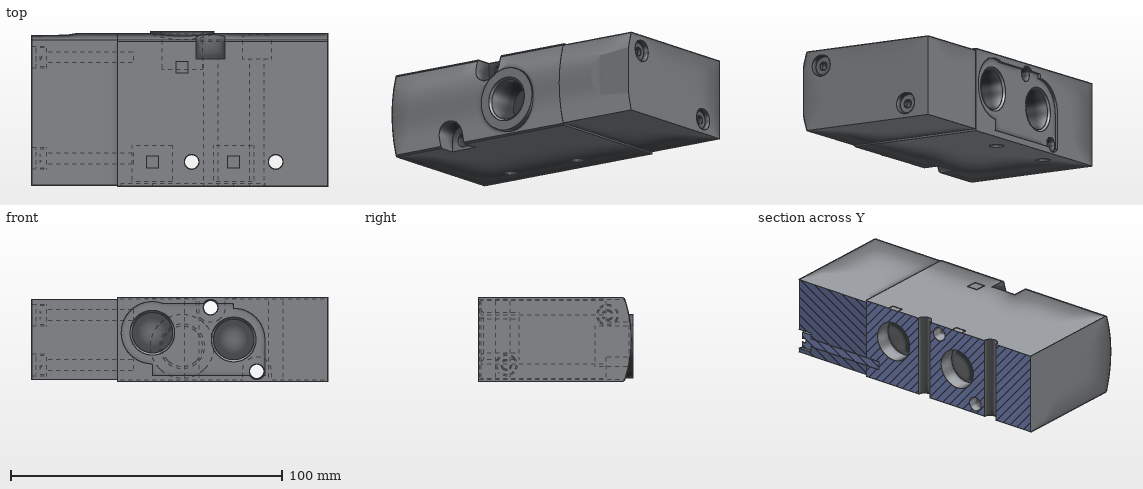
import cadquery as cq
import math


total_length = 109.2
total_depth = 57.0
body_height = 31.0
cap_length = 31.6
body_length = total_length - cap_length

crown_radius = 47.0
crown_top = 56.35
edge_chamfer = 0.6

cap_inset = 0.7
cap_front_inset = 0.3
cap_height = body_height - 2 * cap_inset
relief_length = 16.6
relief_ramp_length = 3.5
relief_end_drop = 0.8
relief_ramp_drop = 0.6

port_diameter = 14.95
port_mouth_diameter = 16.5
port_chamfer = (port_mouth_diameter - port_diameter) / 2
port_depth = 14.0
left_port = (12.9, 2.5)
right_port = (42.9, 0.0)
back_port = (23.9, -2.5)
back_boss_diameter = 23.5
back_boss_root = 50.0

recess_depth = 1.0
recess_radius = 11.5
recess_half_height = 13.2
recess_corner = 0.5

mount_diameter = 5.3
mount_relief_diameter = 6.0
mounts = [(34.4, 11.75, 1), (51.4, -11.75, -1)]
notch_width = 10.7
notch_floor = 47.0

cross_hole_diameter = 5.3
cross_hole_y = 9.0
cross_hole_xs = (27.4, 58.4)

label_size = 4.4
label_depth = 0.1
label_centers = [(left_port[0], 9.0), (right_port[0], 9.0), (back_port[0], 43.9)]

screw_positions = [(47.6, 9.0), (10.3, -9.4)]
shank_diameter = 4.0
shank_length = 32.0
head_diameter = 7.0
head_height = 4.0
head_edge = 0.5
head_sink = 1.5
head_pocket_diameter = 8.0
socket_diameter = 3.0
socket_mouth_diameter = 3.24
socket_mouth_chamfer = (socket_mouth_diameter - socket_diameter) / 2
socket_depth = 1.5
socket_cone_depth = 0.8
head_top_x = -cap_length + head_sink
head_seat_x = head_top_x + head_height
screw_tip_x = head_seat_x + shank_length


def crown_y(z):
    """Y of the crowned back face at height z."""
    return crown_top - crown_radius + math.sqrt(crown_radius**2 - z**2)


def cylinder_y(x, z, diameter, y_start, y_end):
    """Cylinder along Y between two Y values."""
    axis_start = cq.Vector(x, y_start, z)
    return cq.Workplane(cq.Solid.makeCylinder(diameter / 2, y_end - y_start, axis_start, cq.Vector(0, 1, 0)))


def cylinder_x(y, z, diameter, x_start, x_end):
    """Cylinder along X between two X values."""
    axis_start = cq.Vector(x_start, y, z)
    return cq.Workplane(cq.Solid.makeCylinder(diameter / 2, x_end - x_start, axis_start, cq.Vector(1, 0, 0)))


def cone_along(start, direction, start_diameter, end_diameter, length):
    """Cone frustum from a start point along a direction."""
    cone = cq.Solid.makeCone(
        start_diameter / 2, end_diameter / 2, length, cq.Vector(*start), cq.Vector(*direction)
    )
    return cq.Workplane(cone)


def port_cutter(center, face_y, inward):
    """Port bore with a chamfered mouth; inward is +1 or -1 along Y."""
    x, z = center
    floor_y = face_y + inward * port_depth
    bore = cylinder_y(x, z, port_diameter, min(face_y, floor_y), max(face_y, floor_y))
    mouth = cone_along((x, face_y, z), (0, inward, 0), port_mouth_diameter, port_diameter, port_chamfer)
    return bore.union(mouth)


def gasket_recess():
    """Recess outline: two arcs around the ports joined by straight edges and steps."""
    left_x, left_z = left_port
    right_x, right_z = right_port
    rise = recess_half_height - left_z
    tangent_x = left_x + math.sqrt(recess_radius**2 - rise**2)
    diagonal_reach = recess_radius / math.sqrt(2)
    right_arc_middle = (right_x + diagonal_reach, right_z + diagonal_reach)
    outline = (
        cq.Workplane("XZ")
        .moveTo(tangent_x, recess_half_height)
        .lineTo(right_x, recess_half_height)
        .lineTo(right_x, right_z + recess_radius)
        .threePointArc(right_arc_middle, (right_x + recess_radius, right_z))
        .lineTo(right_x + recess_radius, -recess_half_height)
        .lineTo(left_x, -recess_half_height)
        .lineTo(left_x, left_z - recess_radius)
        .threePointArc((left_x - recess_radius, left_z), (tangent_x, recess_half_height))
        .close()
        .extrude(-recess_depth)
    )
    upper_step = cq.selectors.NearestToPointSelector((right_x, recess_depth / 2, recess_half_height))
    lower_step = cq.selectors.NearestToPointSelector((left_x, recess_depth / 2, left_z - recess_radius))
    outline = outline.edges("|Y").edges(upper_step).fillet(recess_corner)
    outline = outline.edges("|Y").edges(lower_step).fillet(recess_corner)
    return outline


def mount_notch(x, z, side):
    """Round-bottomed notch at the back, open toward the top (side = 1) or bottom (side = -1)."""
    round_bottom = cylinder_y(x, z, notch_width, notch_floor, total_depth)
    opening_height = body_height / 2
    opening = cq.Workplane("XY").box(notch_width, total_depth - notch_floor, opening_height)
    opening = opening.translate((x, (notch_floor + total_depth) / 2, z + side * opening_height / 2))
    return round_bottom.union(opening)


def make_body():
    half = body_height / 2
    crown_end_z = half - edge_chamfer
    crown_end_y = crown_y(crown_end_z)
    body = (
        cq.Workplane("YZ")
        .moveTo(0, -half)
        .lineTo(crown_end_y - edge_chamfer, -half)
        .lineTo(crown_end_y, -crown_end_z)
        .threePointArc((crown_top, 0), (crown_end_y, crown_end_z))
        .lineTo(crown_end_y - edge_chamfer, half)
        .lineTo(0, half)
        .close()
        .extrude(body_length)
    )
    body = body.union(cylinder_y(*back_port, back_boss_diameter, back_boss_root, total_depth))
    body = body.cut(gasket_recess())
    body = body.cut(port_cutter(left_port, recess_depth, 1))
    body = body.cut(port_cutter(right_port, recess_depth, 1))
    body = body.cut(port_cutter(back_port, total_depth, -1))
    for x, z, side in mounts:
        body = body.cut(cylinder_y(x, z, mount_diameter, 0, total_depth))
        body = body.cut(cylinder_y(x, z, mount_relief_diameter, 0, recess_depth))
        body = body.cut(mount_notch(x, z, side))
    for x in cross_hole_xs:
        hole = cq.Workplane("XY").center(x, cross_hole_y).circle(cross_hole_diameter / 2)
        body = body.cut(hole.extrude(half, both=True))
    for x, y in label_centers:
        panel = cq.Workplane("XY").box(label_size, label_size, 2 * label_depth)
        body = body.cut(panel.translate((x, y, half)))
    for y, z in screw_positions:
        body = body.cut(cylinder_x(y, z, shank_diameter, 0, screw_tip_x))
    return body


def make_cap():
    half = cap_height / 2
    edge_y = crown_y(half)
    cap = (
        cq.Workplane("YZ")
        .moveTo(cap_front_inset, -half)
        .lineTo(edge_y, -half)
        .threePointArc((crown_top, 0), (edge_y, half))
        .lineTo(cap_front_inset, half)
        .close()
        .extrude(-cap_length)
    )
    relief_end_x = -cap_length + relief_length
    relief = (
        cq.Workplane("XY")
        .moveTo(-cap_length, crown_top - relief_end_drop)
        .lineTo(relief_end_x - relief_ramp_length, crown_top - relief_ramp_drop)
        .lineTo(relief_end_x, crown_top)
        .lineTo(-cap_length, crown_top)
        .close()
        .extrude(half, both=True)
    )
    cap = cap.cut(relief)
    for y, z in screw_positions:
        cap = cap.cut(cylinder_x(y, z, head_pocket_diameter, -cap_length, head_seat_x))
        cap = cap.cut(cylinder_x(y, z, shank_diameter, head_seat_x, 0))
    return cap


def make_screw(y, z):
    """Socket head screw along X, with its head toward -X."""
    head = cylinder_x(y, z, head_diameter, head_top_x, head_seat_x).faces("<X").edges().fillet(head_edge)
    screw = head.union(cylinder_x(y, z, shank_diameter, head_seat_x, screw_tip_x))
    socket_end_x = head_top_x + socket_depth
    socket = cylinder_x(y, z, socket_diameter, head_top_x, socket_end_x)
    mouth = cone_along(
        (head_top_x, y, z), (1, 0, 0), socket_mouth_diameter, socket_diameter, socket_mouth_chamfer
    )
    tip = cone_along((socket_end_x, y, z), (1, 0, 0), socket_diameter, 0, socket_cone_depth)
    return screw.cut(socket.union(mouth).union(tip))


valve_body = make_body()
end_cap = make_cap()
cap_screws = [make_screw(y, z).val() for y, z in screw_positions]

result = cq.Compound.makeCompound([valve_body.val(), end_cap.val(), *cap_screws])